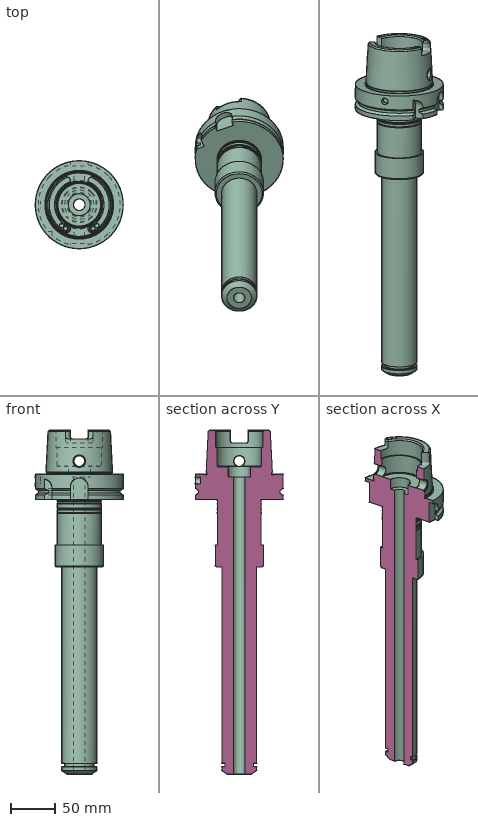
import cadquery as cq
import math

total_height = 390.0

taper_length = 50.0
taper_top_radius = 35.5
taper_base_radius = 38.0
taper_chamfer = 1.5
neck_relief_height = 1.5
neck_relief_depth = 0.8
face_recess_diameter = 78.0
face_recess_depth = 0.5

flange_diameter = 100.0
flange_height = 29.0
gripper_groove_offset = 20.0
gripper_groove_mouth = 7.5
gripper_groove_floor = 2.7
gripper_groove_depth = 3.5

shank_diameter = 50.5
collar_diameter = 55.0
collar_top = 260.0
collar_bottom = 234.8
collar_chamfer = 1.5
tube_diameter = 40.0

shank_rings = [(1.0, 3.5), (9.5, 2.5), (14.5, 1.0)]
shank_ring_depth = 0.5

nose_groove_diameter = 33.0
nose_groove_top = 12.5
nose_groove_bottom = 9.0
nose_edge_chamfer = 0.8
nose_chamfer_height = 4.3
nose_tip_diameter = 27.5

mouth_diameter = 53.0
mouth_depth = 19.5
mouth_chamfer = 1.5
main_bore_diameter = 50.5
main_bore_depth = 41.5
bore_floor_chamfer = 0.98
counterbore_diameter = 25.0
counterbore_depth = 11.7
coolant_diameter = 13.0

drive_slot_width = 20.0
front_slot_depth = 9.8
back_slot_depth = 14.5
slot_corner_radius = 5.5
slot_floor_radius = 2.5
front_slot_chamfer = 1.5

dimple_diameter = 5.0
dimple_depth = 2.5
dimple_circle_radius = 31.0
dimple_angles = (30.3, 40.3)

clamp_hole_diameter = 12.0
clamp_hole_mouth_diameter = 14.0
clamp_hole_mouth_depth = 2.5
clamp_hole_height = 355.0
index_hole_diameter = 7.5
index_hole_height = 333.0
index_hole_depth = 6.0

flange_slot_width = 20.0
key_slot_top = 335.8
key_slot_floor = 44.0
side_notch_top = 334.5
side_notch_center = -41.0
side_notch_floor = 30.5

flange_radius = flange_diameter / 2
flange_top = total_height - taper_length
flange_bottom = flange_top - flange_height


def turned_body():
    shank_radius = shank_diameter / 2
    collar_radius = collar_diameter / 2
    tube_radius = tube_diameter / 2
    relief_radius = taper_base_radius - neck_relief_depth
    relief_top = flange_top + neck_relief_height
    groove_center = flange_top - gripper_groove_offset
    groove_radius = flange_radius - gripper_groove_depth

    points = [
        (0, 0),
        (nose_tip_diameter / 2, 0),
        (tube_radius, nose_chamfer_height),
        (tube_radius, nose_groove_bottom - nose_edge_chamfer),
        (tube_radius - nose_edge_chamfer, nose_groove_bottom),
        (nose_groove_diameter / 2, nose_groove_bottom),
        (nose_groove_diameter / 2, nose_groove_top),
        (tube_radius, nose_groove_top),
        (tube_radius, collar_bottom),
        (collar_radius - collar_chamfer, collar_bottom),
        (collar_radius, collar_bottom + collar_chamfer),
        (collar_radius, collar_top),
        (shank_radius, collar_top),
    ]
    for offset, height in reversed(shank_rings):
        ring_top = flange_bottom - offset
        ring_bottom = ring_top - height
        flank = height / 3
        points += [
            (shank_radius, ring_bottom),
            (shank_radius - shank_ring_depth, ring_bottom + flank),
            (shank_radius - shank_ring_depth, ring_top - flank),
            (shank_radius, ring_top),
        ]
    points += [
        (shank_radius, flange_bottom),
        (flange_radius, flange_bottom),
        (flange_radius, groove_center - gripper_groove_mouth / 2),
        (groove_radius, groove_center - gripper_groove_floor / 2),
        (groove_radius, groove_center + gripper_groove_floor / 2),
        (flange_radius, groove_center + gripper_groove_mouth / 2),
        (flange_radius, flange_top),
        (face_recess_diameter / 2, flange_top),
        (face_recess_diameter / 2 - face_recess_depth, flange_top - face_recess_depth),
        (relief_radius, flange_top - face_recess_depth),
        (relief_radius, relief_top),
        (taper_base_radius, relief_top + neck_relief_depth),
        (taper_top_radius, total_height - taper_chamfer),
        (taper_top_radius - taper_chamfer, total_height),
        (0, total_height),
    ]
    return cq.Workplane("XZ").polyline(points).close().revolve(360, (0, 0), (0, 1))


def bores():
    mouth_radius = mouth_diameter / 2
    bore_radius = main_bore_diameter / 2
    floor = total_height - main_bore_depth
    points = [
        (0, 0),
        (coolant_diameter / 2, 0),
        (coolant_diameter / 2, floor - counterbore_depth),
        (counterbore_diameter / 2, floor - counterbore_depth),
        (counterbore_diameter / 2, floor),
        (bore_radius - bore_floor_chamfer, floor),
        (bore_radius, floor + bore_floor_chamfer),
        (bore_radius, total_height - mouth_depth),
        (mouth_radius, total_height - mouth_depth),
        (mouth_radius, total_height - mouth_chamfer),
        (mouth_radius + mouth_chamfer, total_height),
        (0, total_height),
    ]
    return cq.Workplane("XZ").polyline(points).close().revolve(360, (0, 0), (0, 1))


def drive_slot_outline(side, height):
    """Slot open towards side +1 (+Y) or -1 (-Y), flared outwards by round corners."""
    half = drive_slot_width / 2
    flare = half + slot_corner_radius
    flare_end = math.sqrt(taper_top_radius**2 - flare**2)
    flare_start = flare_end - slot_corner_radius
    bend_x = flare - slot_corner_radius * math.sqrt(0.5)
    bend_y = flare_start + slot_corner_radius * math.sqrt(0.5)
    return (
        cq.Workplane("XY", origin=(0, 0, height))
        .moveTo(-half, 0)
        .lineTo(half, 0)
        .lineTo(half, side * flare_start)
        .threePointArc((bend_x, side * bend_y), (flare, side * flare_end))
        .lineTo(flare, side * flange_radius)
        .lineTo(-flare, side * flange_radius)
        .lineTo(-flare, side * flare_end)
        .threePointArc((-bend_x, side * bend_y), (-half, side * flare_start))
        .close()
    )


def drive_slot(side, depth):
    slot = drive_slot_outline(side, total_height - depth).extrude(depth)
    return slot.faces("<Z").edges().fillet(slot_floor_radius)


def front_slot_bevel():
    outline = drive_slot_outline(-1, total_height - front_slot_chamfer)
    return outline.extrude(front_slot_chamfer, taper=-45)


def arched_slot(center_x, top, floor, side):
    """Flange slot with a half-round top and a flat floor at distance `floor` from the axis."""
    half = flange_slot_width / 2
    return (
        cq.Workplane("XZ", origin=(center_x, side * floor, 0))
        .moveTo(-half, flange_bottom)
        .lineTo(half, flange_bottom)
        .lineTo(half, top - half)
        .threePointArc((0, top), (-half, top - half))
        .close()
        .extrude(-side * flange_radius)
    )


def clamp_hole(side):
    """Radial hole through one wall of the taper, with a wider mouth on the outside."""
    wall_radius = taper_base_radius - clamp_hole_mouth_depth
    hole = (
        cq.Workplane("XZ", origin=(0, 0, clamp_hole_height))
        .circle(clamp_hole_diameter / 2)
        .extrude(-side * flange_radius)
    )
    mouth = (
        cq.Workplane("XZ", origin=(0, side * wall_radius, clamp_hole_height))
        .circle(clamp_hole_mouth_diameter / 2)
        .extrude(-side * clamp_hole_mouth_depth)
    )
    return hole.union(mouth)


def dimple(angle):
    """Cone sunk into the rim at an angle from -Y towards +X, in degrees."""
    x = dimple_circle_radius * math.sin(math.radians(angle))
    y = -dimple_circle_radius * math.cos(math.radians(angle))
    down = cq.Vector(0, 0, -1)
    rim_point = cq.Vector(x, y, total_height)
    return cq.Workplane(obj=cq.Solid.makeCone(dimple_diameter / 2, 0, dimple_depth, rim_point, down))


def index_hole():
    return (
        cq.Workplane("YZ", origin=(-flange_radius, 0, index_hole_height))
        .circle(index_hole_diameter / 2)
        .extrude(index_hole_depth)
    )


result = turned_body().cut(bores())
result = result.cut(drive_slot(-1, front_slot_depth))
result = result.cut(drive_slot(1, back_slot_depth))
result = result.cut(front_slot_bevel()).cut(index_hole())
for side in (-1, 1):
    result = result.cut(clamp_hole(side))
    for angle in dimple_angles:
        result = result.cut(dimple(side * angle))
    result = result.cut(arched_slot(0, key_slot_top, key_slot_floor, side))
result = result.cut(
    arched_slot(side_notch_center, side_notch_top, side_notch_floor, -1)
)